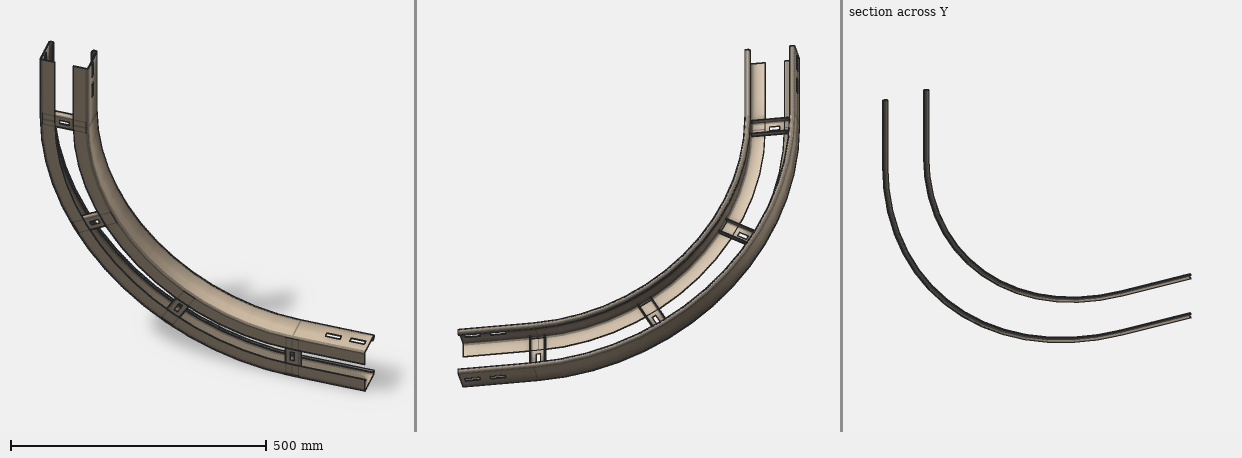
import cadquery as cq

OVERALL = 670.0
CHANNEL_WIDTH = 100.0
CHANNEL_DEPTH = 60.0
LEG_LENGTH = 150.0
BEND_RADIUS = OVERALL - LEG_LENGTH
BEND_ANGLE = 90.0

RAIL_SHEET = 2.0
RUNG_SHEET = 1.5
RAIL_FOLD_RADIUS = 4.0
RUNG_FOLD_RADIUS = 2.0

FLANGE_WIDTH = 31.0
LIP_WIDTH = 11.0
HOOK_DEPTH = 9.0

WEB_SLOT_LENGTH = 30.0
WEB_SLOT_WIDTH = 10.0
WEB_SLOT_FROM_END = 24.0
WEB_SLOT_PITCH = 50.0
WEB_SLOT_COUNT = 2

RUNG_COUNT = 4
RUNG_WIDTH = 30.0
RUNG_DEPTH = 14.0
RUNG_END_GAP = 5.0
RUNG_LENGTH = CHANNEL_WIDTH - 2 * RUNG_END_GAP
RUNG_SLOT_LENGTH = 20.0
RUNG_SLOT_WIDTH = 8.0

BEND_CENTRE_FRONT = cq.Vector(BEND_RADIUS, 0, BEND_RADIUS)
BEND_CENTRE_BACK = BEND_CENTRE_FRONT + cq.Vector(0, CHANNEL_DEPTH, 0)


def folded_section(outer_corners, inner_corners, fold_radius, thickness):
    """Closed wire of a folded sheet, from the corners of its outer and inner faces."""
    outer = cq.Wire.makePolygon([cq.Vector(*c) for c in outer_corners])
    inner = cq.Wire.makePolygon([cq.Vector(*c) for c in inner_corners])
    ends = [
        cq.Edge.makeLine(cq.Vector(*outer_corners[i]), cq.Vector(*inner_corners[i]))
        for i in (0, -1)
    ]
    rounded_outer = outer.fillet(fold_radius)
    rounded_inner = inner.fillet(fold_radius - thickness)
    return cq.Wire.assembleEdges(
        [*rounded_outer.Edges(), *rounded_inner.Edges(), *ends]
    )


def around_bend(shape, angle):
    """Turn a shape about the bend axis, from the +Z leg towards the +X leg."""
    return shape.rotate(BEND_CENTRE_FRONT, BEND_CENTRE_BACK, -angle)


def rail_section(web_x, inward):
    """Rail section at the start of the bend; inward is +1 or -1 along X from the web."""

    def corner(offset, y):
        return (web_x + inward * offset, y, BEND_RADIUS)

    hook_y = CHANNEL_DEPTH - HOOK_DEPTH
    outer_corners = [
        corner(FLANGE_WIDTH, 0),
        corner(0, 0),
        corner(0, CHANNEL_DEPTH),
        corner(LIP_WIDTH, CHANNEL_DEPTH),
        corner(LIP_WIDTH, hook_y),
    ]
    inner_corners = [
        corner(FLANGE_WIDTH, RAIL_SHEET),
        corner(RAIL_SHEET, RAIL_SHEET),
        corner(RAIL_SHEET, CHANNEL_DEPTH - RAIL_SHEET),
        corner(LIP_WIDTH - RAIL_SHEET, CHANNEL_DEPTH - RAIL_SHEET),
        corner(LIP_WIDTH - RAIL_SHEET, hook_y),
    ]
    return folded_section(outer_corners, inner_corners, RAIL_FOLD_RADIUS, RAIL_SHEET)


def straight_leg(section, direction):
    """Slotted leg that runs from the bend start along +Z or -Z (direction +1 or -1)."""
    run = cq.Vector(0, 0, direction * LEG_LENGTH)
    leg = cq.Workplane(cq.Solid.extrudeLinear(section, [], run))
    for i in range(WEB_SLOT_COUNT):
        from_bend = LEG_LENGTH - WEB_SLOT_FROM_END - i * WEB_SLOT_PITCH
        slot = cq.Workplane().box(CHANNEL_WIDTH, WEB_SLOT_WIDTH, WEB_SLOT_LENGTH).translate(
            (CHANNEL_WIDTH / 2, CHANNEL_DEPTH / 2, BEND_RADIUS + direction * from_bend)
        )
        leg = leg.cut(slot)
    return leg


def make_rail(web_x, inward):
    """One rail: leg along +Z, quarter bend, leg along +X."""
    section = rail_section(web_x, inward)
    bend = cq.Solid.revolve(section, [], -BEND_ANGLE, BEND_CENTRE_FRONT, BEND_CENTRE_BACK)
    top_leg = straight_leg(section, 1)
    side_leg = around_bend(straight_leg(section, -1), BEND_ANGLE)
    return top_leg.union(cq.Workplane(bend), clean=False).union(side_leg, clean=False)


def make_rung(angle):
    """One slotted rung, turned by angle around the bend."""
    front_y = RAIL_SHEET
    back_y = front_y + RUNG_DEPTH
    low_z = BEND_RADIUS - RUNG_WIDTH / 2
    high_z = BEND_RADIUS + RUNG_WIDTH / 2
    outer_corners = [
        (RUNG_END_GAP, back_y, low_z),
        (RUNG_END_GAP, front_y, low_z),
        (RUNG_END_GAP, front_y, high_z),
        (RUNG_END_GAP, back_y, high_z),
    ]
    inner_corners = [
        (RUNG_END_GAP, back_y, low_z + RUNG_SHEET),
        (RUNG_END_GAP, front_y + RUNG_SHEET, low_z + RUNG_SHEET),
        (RUNG_END_GAP, front_y + RUNG_SHEET, high_z - RUNG_SHEET),
        (RUNG_END_GAP, back_y, high_z - RUNG_SHEET),
    ]
    section = folded_section(outer_corners, inner_corners, RUNG_FOLD_RADIUS, RUNG_SHEET)
    run = cq.Vector(RUNG_LENGTH, 0, 0)
    channel = cq.Workplane(cq.Solid.extrudeLinear(section, [], run))
    slot = cq.Workplane().box(RUNG_SLOT_LENGTH, RUNG_DEPTH, RUNG_SLOT_WIDTH).translate(
        (CHANNEL_WIDTH / 2, front_y + RUNG_DEPTH / 2, BEND_RADIUS)
    )
    return around_bend(channel.cut(slot), angle)


outer_rail = make_rail(web_x=0, inward=1)
inner_rail = make_rail(web_x=CHANNEL_WIDTH, inward=-1)
rungs = [make_rung(i * BEND_ANGLE / (RUNG_COUNT - 1)) for i in range(RUNG_COUNT)]

result = cq.Compound.makeCompound(
    [outer_rail.val(), inner_rail.val(), *[rung.val() for rung in rungs]]
)